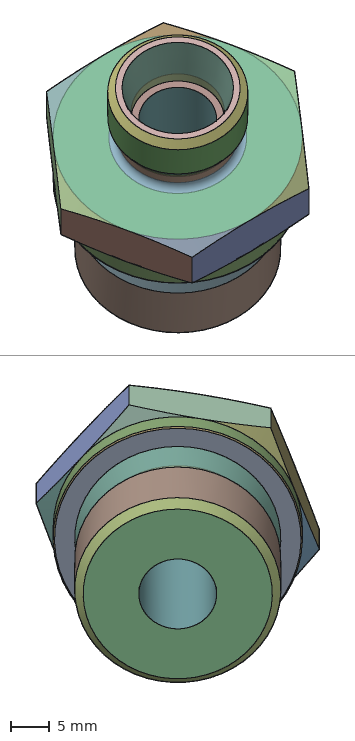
import cadquery as cq
import math

total_height = 37.0
thread_top = 10.0
groove_height = 12.45
flange_bottom = 16.0
hex_bottom = 18.95
hex_top = 26.0
collar_bottom = 30.6

thread_diameter = 26.45
thread_tip_diameter = 24.27
across_flats = 32.0
flange_diameter = across_flats
neck_diameter = 15.7
collar_diameter = 18.0
collar_tip_diameter = 16.0

thread_chamfer = 1.1
collar_chamfer = 1.0
flange_chamfer = 0.2
corner_radius = 1.0
hex_chamfer_angle = 15.0
runout_angle = 30.0
runout_slope = math.tan(math.radians(runout_angle))

bore_diameter = 10.0
tube_diameter = 12.0
mouth_diameter = 14.3
socket_depth = 7.0
cone_half_angle = 12.0


def revolve(points):
    """Revolve a closed (radius, height) outline about the Z axis."""
    return cq.Workplane("XZ").polyline(points).close().revolve(360, (0, 0, 0), (0, 1, 0))


def round_rim(body, height):
    """Fillet the circular edge of a revolved body at the given height."""
    reach = 0.05
    rim = cq.selectors.BoxSelector((-reach, -reach, height - reach), (reach, reach, height + reach))
    return body.edges(rim).fillet(corner_radius)


def make_stud():
    """Thread, rounded groove and flange below the hexagon."""
    thread_radius = thread_diameter / 2
    flange_radius = flange_diameter / 2
    groove_radius = thread_radius - (groove_height - thread_top) * runout_slope
    body = revolve([
        (0, 0),
        (thread_tip_diameter / 2, 0),
        (thread_radius, thread_chamfer),
        (thread_radius, thread_top),
        (groove_radius, groove_height),
        (thread_radius, flange_bottom),
        (flange_radius - flange_chamfer, flange_bottom),
        (flange_radius, flange_bottom + flange_chamfer),
        (flange_radius, hex_bottom),
        (0, hex_bottom),
    ])
    return round_rim(body, groove_height)


def make_hexagon():
    """Hexagon with flats facing +X and -X and both ends chamfered by cones."""
    point_radius = across_flats / math.sqrt(3)
    flat_radius = across_flats / 2
    drop = (point_radius - flat_radius) * math.tan(math.radians(hex_chamfer_angle))
    prism = (
        cq.Workplane("XY", origin=(0, 0, hex_bottom))
        .polygon(6, 2 * point_radius)
        .extrude(hex_top - hex_bottom)
        .rotate((0, 0, 0), (0, 0, 1), 30)
    )
    envelope = revolve([
        (0, hex_bottom),
        (flat_radius, hex_bottom),
        (point_radius, hex_bottom + drop),
        (point_radius, hex_top - drop),
        (flat_radius, hex_top),
        (0, hex_top),
    ])
    return prism.intersect(envelope)


def make_collar():
    """Flared neck and chamfered collar above the hexagon."""
    neck_radius = neck_diameter / 2
    collar_radius = collar_diameter / 2
    neck_top = collar_bottom - (collar_radius - neck_radius) / runout_slope
    foot_arc_offset = corner_radius * (1 - math.sqrt(0.5))
    body = (
        cq.Workplane("XZ")
        .moveTo(0, hex_top)
        .lineTo(neck_radius + corner_radius, hex_top)
        .threePointArc(
            (neck_radius + foot_arc_offset, hex_top + foot_arc_offset),
            (neck_radius, hex_top + corner_radius),
        )
        .lineTo(neck_radius, neck_top)
        .lineTo(collar_radius, collar_bottom)
        .lineTo(collar_radius, total_height - collar_chamfer)
        .lineTo(collar_tip_diameter / 2, total_height)
        .lineTo(0, total_height)
        .close()
        .revolve(360, (0, 0, 0), (0, 1, 0))
    )
    return round_rim(body, neck_top)


def make_bore():
    """Through bore opening into a stepped socket with a conical mouth."""
    tube_radius = tube_diameter / 2
    mouth_radius = mouth_diameter / 2
    cone_depth = (mouth_radius - tube_radius) / math.tan(math.radians(cone_half_angle))
    return revolve([
        (0, 0),
        (bore_diameter / 2, 0),
        (bore_diameter / 2, total_height - socket_depth),
        (tube_radius, total_height - socket_depth),
        (tube_radius, total_height - cone_depth),
        (mouth_radius, total_height),
        (0, total_height),
    ])


result = make_stud().union(make_hexagon()).union(make_collar()).cut(make_bore())